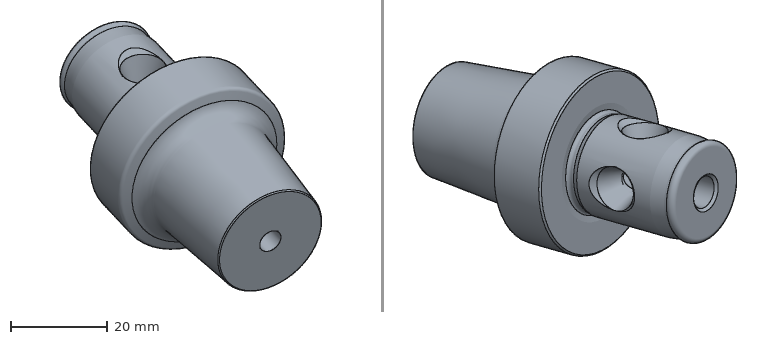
import cadquery as cq
import math

lead_in_start = 2.6
lead_in_end = 6.0
cross_hole_x = 16.2
shank_end = 25.5
neck_start = 26.65
root_start = 27.2
flange_face = 28.0
rounding_start = 39.8
body_joint = 41.15
total_length = 68.0

shank_radius = 11.0
groove_radius = 10.6
root_radius = 11.3
recess_radius = 12.7
flange_radius = 20.0
taper_end_radius = 12.5

nose_radius = 1.15
nose_face_radius = shank_radius - nose_radius
nose_end = nose_radius + math.sqrt(nose_radius**2 - (groove_radius - nose_face_radius) ** 2)

flange_chamfer = 0.4
recess_depth = 0.2
rounding_radius = 0.9
root_arc_radius = 0.8
fillet_radius = 4.2
tip_chamfer = 0.3
slope = math.radians(75)
taper_slope = math.radians(4.4)

bore_radius = 3.5
bore_chamfer = 0.6
passage_radius = 2.55
shoulder_start = 23.8
shoulder_length = bore_radius - passage_radius
sink_radius = 6.05
seat_radius = 4.8
seat_height = math.sqrt(shank_radius**2 - seat_radius**2)
cross_hole_radius = 2.9
seat_half_angle = math.radians(18)
seat_bottom = seat_height - (seat_radius - cross_hole_radius) / math.tan(seat_half_angle)

rounding_end = rounding_start + rounding_radius * math.sin(slope)
rounding_end_radius = flange_radius - rounding_radius * (1 - math.cos(slope))
joint_radius = rounding_end_radius - (body_joint - rounding_end) * math.tan(slope)

fillet_end = body_joint + fillet_radius * (math.sin(slope) - math.sin(taper_slope))
taper_start_radius = joint_radius - fillet_radius * (math.cos(taper_slope) - math.cos(slope))


def revolve(profile):
    """Close a profile drawn in (X, radius) and turn it about the X axis."""
    return profile.close().revolve(360, (0, 0, 0), (1, 0, 0))


def make_bore():
    return revolve(
        cq.Workplane("XY")
        .lineTo(0, bore_radius + bore_chamfer)
        .lineTo(bore_chamfer, bore_radius)
        .lineTo(shoulder_start, bore_radius)
        .lineTo(shoulder_start + shoulder_length, passage_radius)
        .lineTo(total_length, passage_radius)
        .lineTo(total_length, 0)
    )


def make_cross_hole():
    """Countersunk, tapering hole from the +Z side of the shank down to the axis."""
    return (
        cq.Workplane("XZ")
        .lineTo(cross_hole_radius, 0)
        .lineTo(cross_hole_radius, seat_bottom)
        .lineTo(seat_radius, seat_height)
        .lineTo(sink_radius, shank_radius)
        .lineTo(sink_radius, flange_radius)
        .lineTo(0, flange_radius)
        .close()
        .revolve(360, (0, 0, 0), (0, 1, 0))
        .translate((cross_hole_x, 0, 0))
    )


def make_shank():
    """Cylindrical shank with rounded nose, snap groove and flange."""
    blank = revolve(
        cq.Workplane("XY")
        .lineTo(0, nose_face_radius)
        .threePointArc((nose_radius, shank_radius), (nose_end, groove_radius))
        .lineTo(lead_in_start, groove_radius)
        .lineTo(lead_in_end, shank_radius)
        .lineTo(shank_end, shank_radius)
        .lineTo(neck_start, groove_radius)
        .lineTo(root_start, groove_radius)
        .radiusArc((flange_face + recess_depth, root_radius), -root_arc_radius)
        .lineTo(flange_face, recess_radius)
        .lineTo(flange_face, flange_radius - flange_chamfer)
        .lineTo(flange_face + flange_chamfer, flange_radius)
        .lineTo(rounding_start, flange_radius)
        .radiusArc((rounding_end, rounding_end_radius), rounding_radius)
        .lineTo(body_joint, joint_radius)
        .lineTo(body_joint, 0)
    )
    top_hole = make_cross_hole()
    back_hole = top_hole.rotate((0, 0, 0), (1, 0, 0), -90)
    return blank.cut(make_bore()).cut(top_hole).cut(back_hole)


def make_taper():
    """Tapered stub that flares into the back of the flange."""
    blank = revolve(
        cq.Workplane("XY")
        .moveTo(body_joint, 0)
        .lineTo(body_joint, joint_radius)
        .radiusArc((fillet_end, taper_start_radius), -fillet_radius)
        .lineTo(total_length - tip_chamfer, taper_end_radius)
        .lineTo(total_length, taper_end_radius - tip_chamfer)
        .lineTo(total_length, 0)
    )
    return blank.cut(make_bore())


shank = make_shank()
taper = make_taper()

result = cq.Compound.makeCompound([shank.val(), taper.val()])